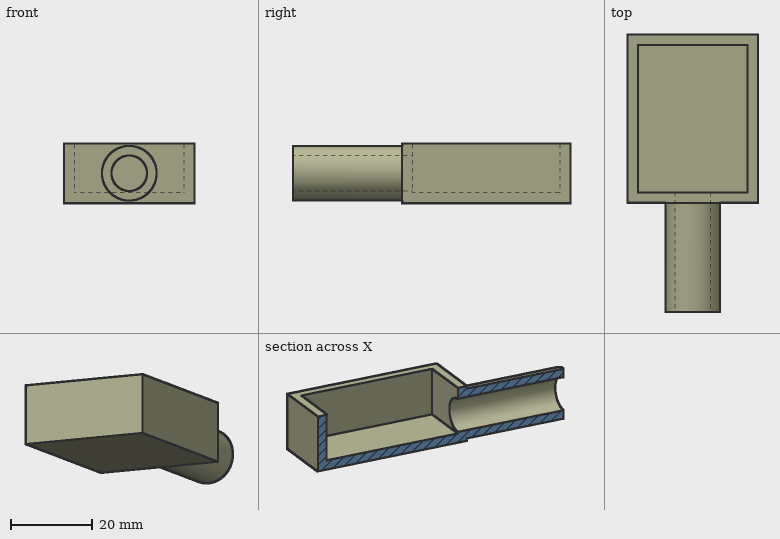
import cadquery as cq

total_length = 68.5
box_width = 32.25
box_length = 41.55
box_height = 14.8
wall = 2.6

tube_diameter = 13.5
bore_diameter = 8.75
tube_length = total_length - box_length


def cylinder_along_y(diameter, start_y, length):
    """Cylinder at mid-height of the box, running from start_y toward -Y."""
    return (
        cq.Workplane("XZ", origin=(0, start_y, box_height / 2))
        .circle(diameter / 2)
        .extrude(length)
    )


box = cq.Workplane("XY").box(box_width, box_length, box_height, centered=(True, False, False))
cavity = (
    cq.Workplane("XY", origin=(0, wall, wall))
    .box(
        box_width - 2 * wall,
        box_length - 2 * wall,
        box_height - wall,
        centered=(True, False, False),
    )
)

tube = cylinder_along_y(tube_diameter, 0, tube_length)
bore = cylinder_along_y(bore_diameter, wall, tube_length + wall)

result = box.union(tube).cut(cavity).cut(bore)